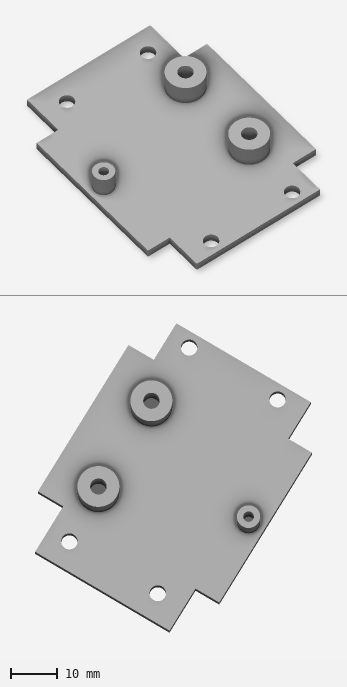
import cadquery as cq

length = 58.65
width = 45.9
thickness = 2.0
band_front = 5.9
band_back = 39.55
tab_right = 49.3
front_tab_left = 10.8
back_tab_left = 11.7

mount_hole_diameter = 3.5
mount_hole_left = 5.75
mount_hole_spacing_x = 49.75
mount_hole_front = 12.3
mount_hole_spacing_y = 22.1

boss_height = 5.0
large_boss_diameter = 9.0
large_bore_diameter = 3.5
large_boss_left = 18.3
large_boss_spacing = 22.0
large_boss_y = 34.75
small_boss_diameter = 5.0
small_bore_diameter = 2.3
small_boss_x = 29.2
small_boss_y = 3.75


def make_plate():
    """Flat plate with its four corners notched."""
    outline = [
        (front_tab_left, 0),
        (tab_right, 0),
        (tab_right, band_front),
        (length, band_front),
        (length, band_back),
        (tab_right, band_back),
        (tab_right, width),
        (back_tab_left, width),
        (back_tab_left, band_back),
        (0, band_back),
        (0, band_front),
        (front_tab_left, band_front),
    ]
    return cq.Workplane("XY").polyline(outline).close().extrude(thickness)


def make_mount_holes():
    """Cutters for the four mounting holes."""
    centers = [
        (mount_hole_left + dx, mount_hole_front + dy)
        for dx in (0, mount_hole_spacing_x)
        for dy in (0, mount_hole_spacing_y)
    ]
    return cq.Workplane("XY").pushPoints(centers).circle(mount_hole_diameter / 2).extrude(thickness)


def make_boss(x, y, diameter, bore_diameter):
    """Hollow round boss standing on the plate."""
    return (
        cq.Workplane("XY", origin=(x, y, thickness))
        .circle(diameter / 2)
        .circle(bore_diameter / 2)
        .extrude(boss_height)
    )


result = make_plate().cut(make_mount_holes())
for boss_x in (large_boss_left, large_boss_left + large_boss_spacing):
    result = result.union(make_boss(boss_x, large_boss_y, large_boss_diameter, large_bore_diameter))
result = result.union(make_boss(small_boss_x, small_boss_y, small_boss_diameter, small_bore_diameter))